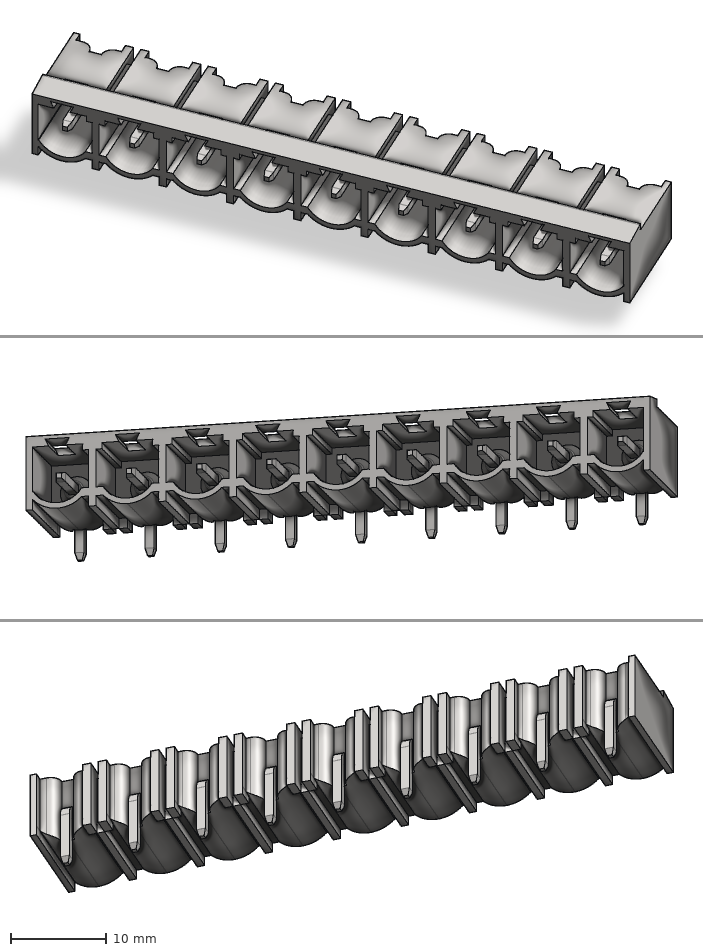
import cadquery as cq
import math

POLES = 9
PITCH = 7.62
MODULE_WIDTH = 6.8
LENGTH = (POLES - 1) * PITCH + MODULE_WIDTH
MODULE_GAP = PITCH - MODULE_WIDTH
POLE_POSITIONS = [(i - (POLES - 1) / 2) * PITCH for i in range(POLES)]
GAP_POSITIONS = [x + PITCH / 2 for x in POLE_POSITIONS[:-1]]

DEPTH = 11.75
OVERALL_HEIGHT = 11.6
ROOF_TOP = 7.6
ROOF_THICKNESS = 0.78
UNDERSIDE_Z = 1.1
END_WALL = 0.7

POST_WIDTH = 0.93
POST_LENGTH = 1.1
REAR_FACE_Y = DEPTH - POST_LENGTH
NOTCH_HALF_WIDTH = 0.7
NOTCH_RADIUS = 1.25
NOTCH_FLOOR_Y = REAR_FACE_Y - NOTCH_RADIUS
REAR_GAP_LENGTH = 1.94
REAR_GAP_Y = DEPTH - REAR_GAP_LENGTH

LIP_DEPTH = 3.05
LIP_FLAT = 0.2
LIP_BACK_TOP = 8.41
LIP_FRONT_TOP = 8.0

AXIS_Z = 3.75
SOCKET_RADIUS = 3.15
SOCKET_WALL = 0.6
SHELL_RADIUS = SOCKET_RADIUS + SOCKET_WALL
SOCKET_DEPTH = 8.2
SOCKET_TOP = ROOF_TOP - ROOF_THICKNESS
LEDGE_Z = 2.04
CORNER_HALF_WIDTH = 2.76
CORNER_Z = 6.15

WINDOW_TOP_WIDTH = 2.6
WINDOW_BOTTOM_WIDTH = 1.85
WINDOW_END_Y = 4.1

BOSS_RADIUS = 1.75
BOSS_TIP_RADIUS = 1.0
BOSS_HEIGHT = 1.2
BOSS_ROUNDING = 0.2

PIN_SIZE = 1.0
PIN_TIP_SIZE = 0.55
PIN_TIP_LENGTH = 0.75
PIN_FRONT_Y = 0.8
PIN_BOTTOM_Z = LIP_BACK_TOP - OVERALL_HEIGHT
LEG_BACK_Y = NOTCH_FLOOR_Y + PIN_SIZE
BEND_OUTER_RADIUS = 1.5
BEND_INNER_RADIUS = BEND_OUTER_RADIUS - PIN_SIZE


def box(x_min, x_max, y_min, y_max, z_min, z_max):
    """Box between two opposite corners."""
    size = (x_max - x_min, y_max - y_min, z_max - z_min)
    return cq.Workplane("XY").box(*size, centered=False).translate((x_min, y_min, z_min))


def prism_along_y(outline, y_min, y_max):
    """Extrude an outline drawn on the XZ plane from y_min to y_max."""
    return outline.extrude(-(y_max - y_min)).translate((0, y_min, 0))


def base_block():
    """Full-length body whose front lip is flat at its back and slopes down to the front."""
    profile = [
        (0, 0),
        (DEPTH, 0),
        (DEPTH, ROOF_TOP),
        (LIP_DEPTH, ROOF_TOP),
        (LIP_DEPTH, LIP_BACK_TOP),
        (LIP_DEPTH - LIP_FLAT, LIP_BACK_TOP),
        (0, LIP_FRONT_TOP),
    ]
    return cq.Workplane("YZ").polyline(profile).close().extrude(LENGTH).translate((-LENGTH / 2, 0, 0))


def module_sides(index, inset_between_poles):
    """X limits of one module, moved in by the end wall at either end of the row."""
    x = POLE_POSITIONS[index]
    left_inset = END_WALL if index == 0 else inset_between_poles
    right_inset = END_WALL if index == POLES - 1 else inset_between_poles
    return x - MODULE_WIDTH / 2 + left_inset, x + MODULE_WIDTH / 2 - right_inset


def post_inner_edges(index):
    """X of the inner faces of the left and right rear posts of one pole."""
    return module_sides(index, POST_WIDTH)


def inner_sides(index):
    """X of the side walls of one pole: the end walls, or the walls shared with its neighbours."""
    return module_sides(index, 0)


def rear_recess(index):
    """Space between the rear posts, with a rounded-edge notch that clears the pin leg."""
    x = POLE_POSITIONS[index]
    left, right = post_inner_edges(index)
    arc_inset = NOTCH_RADIUS * (1 - math.sqrt(0.5))
    near = NOTCH_HALF_WIDTH
    far = near + NOTCH_RADIUS
    outline = (
        cq.Workplane("XY")
        .moveTo(left, DEPTH)
        .lineTo(left, REAR_FACE_Y)
        .lineTo(x - far, REAR_FACE_Y)
        .threePointArc((x - near - arc_inset, REAR_FACE_Y - arc_inset), (x - near, NOTCH_FLOOR_Y))
        .lineTo(x + near, NOTCH_FLOOR_Y)
        .threePointArc((x + near + arc_inset, REAR_FACE_Y - arc_inset), (x + far, REAR_FACE_Y))
        .lineTo(right, REAR_FACE_Y)
        .lineTo(right, DEPTH)
        .close()
    )
    return outline.extrude(ROOF_TOP)


def underside_relief(index):
    """Space below one pole, leaving the rounded shell of its socket."""
    x = POLE_POSITIONS[index]
    left, right = inner_sides(index)
    front = box(left, right, 0, REAR_GAP_Y, 0, UNDERSIDE_Z)
    post_left, post_right = post_inner_edges(index)
    rear = box(post_left, post_right, REAR_GAP_Y, DEPTH, 0, UNDERSIDE_Z)
    shell = prism_along_y(cq.Workplane("XZ").center(x, AXIS_Z).circle(SHELL_RADIUS), 0, DEPTH)
    return front.union(rear).cut(shell)


def socket(index):
    """Round-bottomed cavity of one pole with stepped upper corners and side ledges."""
    x = POLE_POSITIONS[index]
    left, right = inner_sides(index)
    upper = box(left, right, 0, SOCKET_DEPTH, LEDGE_Z, CORNER_Z)
    neck_left = left if index == 0 else x - CORNER_HALF_WIDTH
    neck_right = right if index == POLES - 1 else x + CORNER_HALF_WIDTH
    neck = box(neck_left, neck_right, 0, SOCKET_DEPTH, CORNER_Z, SOCKET_TOP)
    bowl = prism_along_y(cq.Workplane("XZ").center(x, AXIS_Z).circle(SOCKET_RADIUS), 0, SOCKET_DEPTH)
    bowl = bowl.intersect(box(left, right, 0, SOCKET_DEPTH, 0, AXIS_Z))
    return upper.union(neck).union(bowl)


def roof_window(x):
    """Dovetail slot through the roof of one pole, running forward beneath the lip."""
    outline = cq.Workplane("XZ").polyline(
        [
            (x - WINDOW_TOP_WIDTH / 2, ROOF_TOP),
            (x + WINDOW_TOP_WIDTH / 2, ROOF_TOP),
            (x + WINDOW_BOTTOM_WIDTH / 2, SOCKET_TOP),
            (x - WINDOW_BOTTOM_WIDTH / 2, SOCKET_TOP),
        ]
    ).close()
    return prism_along_y(outline, 0, WINDOW_END_Y)


def module_gap(x):
    """Groove in the roof between two poles, open from top to bottom at the rear."""
    left = x - MODULE_GAP / 2
    right = x + MODULE_GAP / 2
    groove = box(left, right, LIP_DEPTH, DEPTH, SOCKET_TOP, ROOF_TOP)
    return groove.union(box(left, right, REAR_GAP_Y, DEPTH, 0, ROOF_TOP))


def boss(x):
    """Tapered boss with a rounded rim on the socket floor."""
    cone = (
        cq.Workplane("XZ")
        .circle(BOSS_RADIUS)
        .workplane(offset=BOSS_HEIGHT)
        .circle(BOSS_TIP_RADIUS)
        .loft()
    )
    return cone.faces("<Y").edges().fillet(BOSS_ROUNDING).translate((x, SOCKET_DEPTH, AXIS_Z))


def tip(plane):
    """Square pin end that tapers away from the given plane along its normal."""
    base = plane.rect(PIN_SIZE, PIN_SIZE)
    return base.workplane(offset=PIN_TIP_LENGTH).rect(PIN_TIP_SIZE, PIN_TIP_SIZE).loft()


def pin(x):
    """L-shaped square contact with tapered ends."""
    top = AXIS_Z + PIN_SIZE / 2
    underside = AXIS_Z - PIN_SIZE / 2
    front = PIN_FRONT_Y + PIN_TIP_LENGTH
    bottom = PIN_BOTTOM_Z + PIN_TIP_LENGTH
    outline = [
        (front, top),
        (LEG_BACK_Y, top),
        (LEG_BACK_Y, bottom),
        (NOTCH_FLOOR_Y, bottom),
        (NOTCH_FLOOR_Y, underside),
        (front, underside),
    ]
    outer_corner = cq.selectors.NearestToPointSelector((0, LEG_BACK_Y, top))
    inner_corner = cq.selectors.NearestToPointSelector((0, NOTCH_FLOOR_Y, underside))
    bar = cq.Workplane("YZ").polyline(outline).close().extrude(PIN_SIZE / 2, both=True)
    bar = bar.edges("|X").edges(outer_corner).fillet(BEND_OUTER_RADIUS)
    bar = bar.edges("|X").edges(inner_corner).fillet(BEND_INNER_RADIUS)
    front_tip = tip(cq.Workplane("XZ")).translate((0, front, AXIS_Z))
    leg_end = cq.Workplane("XY", origin=(0, NOTCH_FLOOR_Y + PIN_SIZE / 2, bottom))
    leg_tip = tip(leg_end.transformed(rotate=(180, 0, 0)))
    return bar.union(front_tip).union(leg_tip).translate((x, 0, 0))


pins = [pin(x).val() for x in POLE_POSITIONS]

openings = [module_gap(x) for x in GAP_POSITIONS]
for index, pole_x in enumerate(POLE_POSITIONS):
    openings += [rear_recess(index), underside_relief(index), socket(index), roof_window(pole_x)]
housing = base_block().val().cut(*[solid for opening in openings for solid in opening.vals()])
housing = housing.fuse(*[boss(x).val() for x in POLE_POSITIONS])
housing = housing.cut(*pins)

result = cq.Compound.makeCompound([*housing.Solids(), *[contact.Solids()[0] for contact in pins]])